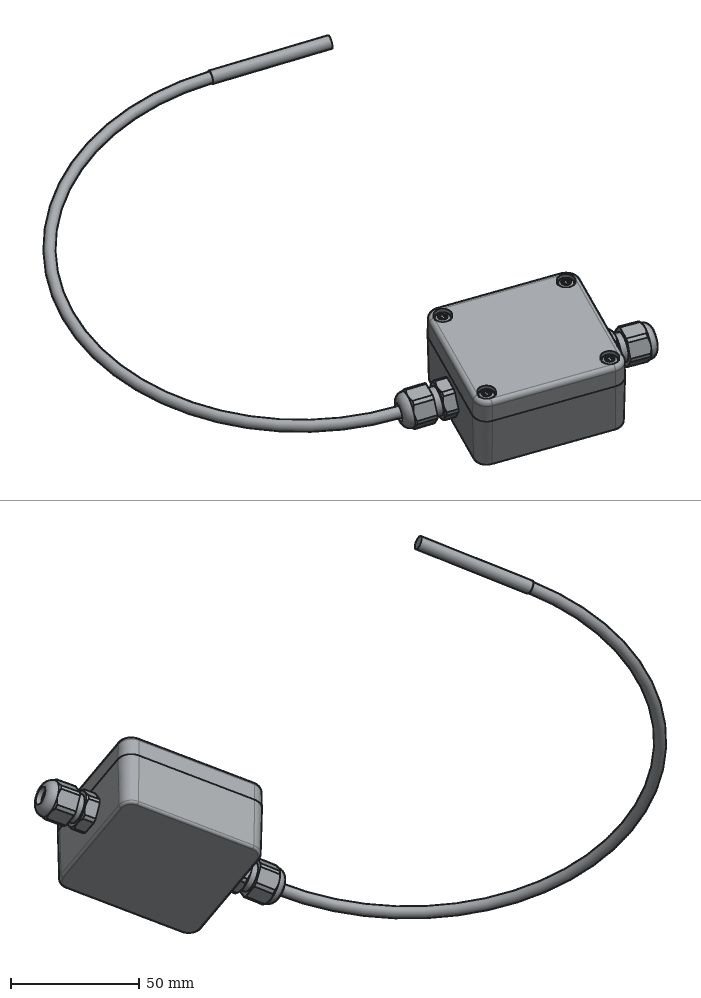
import cadquery as cq
import math

box_width = 58.0
box_length = 63.8
box_height = 35.0
joint_z = 24.8
corner_radius = 6.0
draft_angle = 1.2
lid_fillet = 2.0
base_fillet = 1.2

screw_inset = 6.0
pocket_diameter = 7.5
pocket_depth = 2.0
head_diameter = 6.5
head_flat_diameter = 4.0
head_height = 1.6
head_cone_height = 1.0
cross_length = 3.2
cross_width = 1.2
cross_depth = 0.7

gland_x = -0.12
front_gland_z = 13.5
back_gland_z = 14.5
hex_across_flats = 15.0
hex_corner_diameter = 16.5
hex_base_length = 5.5
hex_base_chamfer = 0.7
neck_diameter = 12.0
neck_length = 3.2
gland_length = 21.8
corner_bevel_length = 0.7
opening_diameter = 7.5
opening_depth = 2.3

cable_diameter = 4.9
bend_radius = 100.0
straight_length = 20.9
probe_diameter = 5.5
probe_length = 50.0


def make_housing():
    return (
        cq.Workplane("XY", origin=(0, 0, joint_z))
        .sketch()
        .rect(box_width, box_length)
        .vertices()
        .fillet(corner_radius)
        .finalize()
        .extrude(-joint_z, taper=draft_angle)
        .faces("<Z")
        .edges()
        .fillet(base_fillet)
    )


def make_lid():
    lid_height = box_height - joint_z
    lid = (
        cq.Workplane("XY", origin=(0, 0, joint_z))
        .sketch()
        .rect(box_width, box_length)
        .vertices()
        .fillet(corner_radius)
        .finalize()
        .extrude(lid_height, taper=draft_angle)
        .faces(">Z")
        .edges()
        .fillet(lid_fillet)
    )
    pockets = (
        cq.Workplane("XY", origin=(0, 0, box_height - pocket_depth))
        .pushPoints(screw_points)
        .circle(pocket_diameter / 2)
        .extrude(pocket_depth)
    )
    return lid.cut(pockets)


def make_screw(x, y):
    """Conical screw head with a cross recess, standing on the pocket floor."""
    floor_z = box_height - pocket_depth
    rim_height = head_height - head_cone_height
    head = (
        cq.Workplane("XZ")
        .polyline([
            (0, 0),
            (head_diameter / 2, 0),
            (head_diameter / 2, rim_height),
            (head_flat_diameter / 2, head_height),
            (0, head_height),
        ])
        .close()
        .revolve(360, (0, 0), (0, 1))
    )
    recess = (
        cq.Workplane("XY", origin=(0, 0, head_height - cross_depth))
        .rect(cross_length, cross_width)
        .extrude(cross_depth)
        .union(
            cq.Workplane("XY", origin=(0, 0, head_height - cross_depth))
            .rect(cross_width, cross_length)
            .extrude(cross_depth)
        )
    )
    return head.cut(recess).translate((x, y, floor_z))


def wall_plane(side, height):
    """Plane on a drafted end wall; side is -1 for the -Y wall and 1 for the +Y wall."""
    draft = math.radians(draft_angle)
    wall_y = box_length / 2 - (joint_z - height) * math.tan(draft)
    return cq.Plane(
        origin=(gland_x, side * wall_y, height),
        xDir=(1, 0, 0),
        normal=(0, side * math.cos(draft), -math.sin(draft)),
    )


def make_gland():
    """Cable gland along +Z: hexagonal base, round neck and domed hexagonal nut."""
    corner_r = hex_corner_diameter / 2
    neck_r = neck_diameter / 2
    dome_r = hex_across_flats / 2
    opening_r = opening_diameter / 2
    nut_start = hex_base_length + neck_length
    rounding = dome_r - opening_r
    dome_start = gland_length - rounding
    dome_middle = (
        opening_r + rounding * math.sin(math.radians(45)),
        dome_start + rounding * math.cos(math.radians(45)),
    )
    body = (
        cq.Workplane("XZ")
        .moveTo(0, 0)
        .lineTo(corner_r, 0)
        .lineTo(corner_r, hex_base_length - hex_base_chamfer)
        .lineTo(corner_r - hex_base_chamfer, hex_base_length)
        .lineTo(neck_r, hex_base_length)
        .lineTo(neck_r, nut_start)
        .lineTo(corner_r, nut_start)
        .lineTo(corner_r, dome_start - corner_bevel_length)
        .lineTo(dome_r, dome_start)
        .threePointArc(dome_middle, (opening_r, gland_length))
        .lineTo(0, gland_length)
        .close()
        .revolve(360, (0, 0), (0, 1))
    )
    hexagon = (
        cq.Workplane("XY")
        .polygon(6, hex_across_flats / math.cos(math.radians(30)))
        .extrude(gland_length)
    )
    bore = cq.Workplane("XY").circle(cable_diameter / 2).extrude(gland_length)
    opening = (
        cq.Workplane("XY", origin=(0, 0, gland_length - opening_depth))
        .circle(opening_diameter / 2)
        .extrude(opening_depth)
    )
    return body.intersect(hexagon).cut(bore).cut(opening)


def make_cable():
    """Cable that leaves the wall along +Z and bends back through a half circle."""
    path = (
        cq.Workplane("XZ")
        .lineTo(0, straight_length)
        .threePointArc(
            (-bend_radius, straight_length + bend_radius),
            (-2 * bend_radius, straight_length),
        )
    )
    return cq.Workplane("XY").circle(cable_diameter / 2).sweep(path)


def make_probe():
    """Round sensor sleeve that continues the far end of the cable."""
    return (
        cq.Workplane("XY", origin=(-2 * bend_radius, 0, straight_length))
        .circle(probe_diameter / 2)
        .extrude(-probe_length)
    )


screw_x = box_width / 2 - screw_inset
screw_y = box_length / 2 - screw_inset
screw_points = [(sx * screw_x, sy * screw_y) for sx in (-1, 1) for sy in (-1, 1)]

housing = make_housing()
lid = make_lid()
screws = [make_screw(x, y).val() for x, y in screw_points]

front_wall = wall_plane(-1, front_gland_z)
back_wall = wall_plane(1, back_gland_z)
glands = [make_gland().val().moved(cq.Location(wall)) for wall in (front_wall, back_wall)]
cable = make_cable().val().moved(cq.Location(front_wall))
probe = make_probe().val().moved(cq.Location(front_wall))

result = cq.Compound.makeCompound([housing.val(), lid.val(), *screws, *glands, cable, probe])